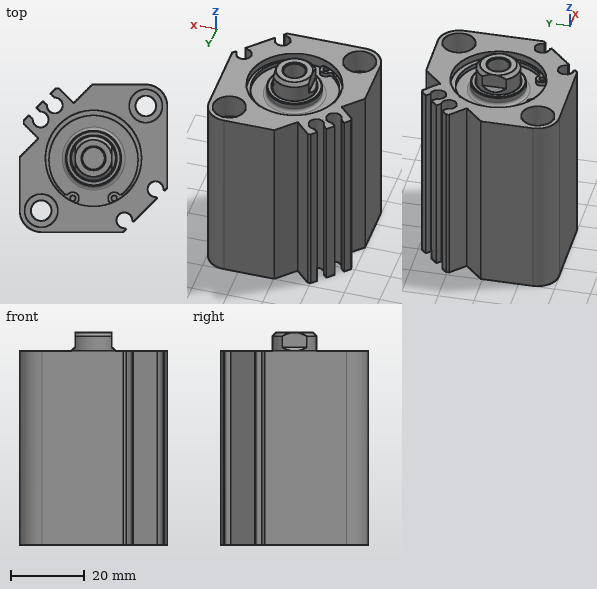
import cadquery as cq
import math

body_width = 40.0
body_height = 52.5
overall_height = 57.5
half_width = body_width / 2
corner_radius = 6.0

rail_side_face = 14.35
port_side_face = 19.8

rail_face = 20.6
rail_width = 13.5
rail_chamfer = 0.6

slot_diameter = 4.2
slot_mouth = 2.85
rail_slot_center = 17.5
rail_slot_pitch = 5.4
port_slot_center = 17.75
port_slot_pitch = 11.9

mount_circle_diameter = 40.0
mount_hole_diameter = 5.5
mount_bore_diameter = 9.0
mount_bore_depth = 7.0

recess_diameter = 26.0
recess_depth = 3.2
recess_floor = body_height - recess_depth
boss_diameter = 15.0
boss_top = body_height - 0.6
boss_fillet = 1.0
boss_outer_chamfer = 0.25
bore_chamfer = 0.3

rod_diameter = 12.0
rod_length = 40.0
rod_bottom = overall_height - rod_length
rod_chamfer = 1.0
rod_flats_width = 10.0
rod_flat_height = 4.0
rod_hole_diameter = 6.0
rod_hole_depth = 12.0
rod_hole_chamfer = 0.3

ring_thickness = 1.2
ring_opening_radius = 12.05
ring_opening_offset = 0.45
ear_radius = 1.65
ear_hole_diameter = 1.5
ear_x = 5.6
ear_y = -10.8
ear_fillet = 0.8

rail_angle = 135
port_angle = -45


def diagonal_box(inner, outer, width, angle):
    """Full-height block from inner to outer along the direction of angle."""
    block = cq.Workplane("XY").box(outer - inner, width, body_height, centered=(True, True, False))
    return block.translate(((inner + outer) / 2, 0, 0)).rotate((0, 0, 0), (0, 0, 1), angle)


def sensor_slot(center, offset, angle):
    """Full-height slot cutter whose mouth opens outwards along angle."""
    channel = cq.Workplane("XY").center(center, offset).circle(slot_diameter / 2).extrude(body_height)
    mouth = (
        cq.Workplane("XY")
        .box(slot_diameter, slot_mouth, body_height, centered=(False, True, False))
        .translate((center, offset, 0))
    )
    return channel.union(mouth).rotate((0, 0, 0), (0, 0, 1), angle)


def make_housing():
    housing = cq.Workplane("XY").rect(body_width, body_width).extrude(body_height)
    for corner in (">X and >Y", "<X and <Y"):
        housing = housing.edges("|Z").edges(corner).fillet(corner_radius)

    for face, angle in ((rail_side_face, rail_angle), (port_side_face, port_angle)):
        housing = housing.cut(diagonal_box(face, body_width, 2 * body_width, angle))

    rail = cq.Workplane("XY").box(rail_face - rail_side_face, rail_width, body_height,
                                  centered=(False, True, False))
    rail = rail.edges("|Z and >X").chamfer(rail_chamfer)
    rail = rail.translate((rail_side_face, 0, 0)).rotate((0, 0, 0), (0, 0, 1), rail_angle)
    housing = housing.union(rail)

    for side in (-1, 1):
        housing = housing.cut(sensor_slot(rail_slot_center, side * rail_slot_pitch / 2, rail_angle))
        housing = housing.cut(sensor_slot(port_slot_center, side * port_slot_pitch / 2, port_angle))

    mount_offset = mount_circle_diameter / 2 * math.sin(math.radians(45))
    housing = (
        housing.faces(">Z").workplane(origin=(0, 0, body_height))
        .pushPoints([(mount_offset, mount_offset), (-mount_offset, -mount_offset)])
        .cboreHole(mount_hole_diameter, mount_bore_diameter, mount_bore_depth)
    )

    recess = (
        cq.Workplane("XY").workplane(offset=recess_floor)
        .circle(recess_diameter / 2).extrude(recess_depth)
    )
    housing = housing.cut(recess).union(make_boss())

    rod_bore = (
        cq.Workplane("XY").workplane(offset=rod_bottom)
        .circle(rod_diameter / 2).extrude(rod_length)
    )
    housing = housing.cut(rod_bore)

    mouth_bottom = boss_top - bore_chamfer
    mouth = cq.Solid.makeCone(
        rod_diameter / 2, rod_diameter / 2 + bore_chamfer, bore_chamfer, pnt=cq.Vector(0, 0, mouth_bottom))
    return housing.cut(cq.Workplane(mouth))


def make_boss():
    radius = boss_diameter / 2
    bend = boss_fillet * (1 - math.sin(math.radians(45)))
    profile = (
        cq.Workplane("XZ")
        .moveTo(0, recess_floor - boss_fillet)
        .lineTo(radius + boss_fillet, recess_floor - boss_fillet)
        .lineTo(radius + boss_fillet, recess_floor)
        .threePointArc((radius + bend, recess_floor + bend), (radius, recess_floor + boss_fillet))
        .lineTo(radius, boss_top - boss_outer_chamfer)
        .lineTo(radius - boss_outer_chamfer, boss_top)
        .lineTo(0, boss_top)
        .close()
    )
    return profile.revolve(360, (0, 0, 0), (0, 1, 0))


def make_rod():
    rod = (
        cq.Workplane("XY").workplane(offset=rod_bottom)
        .circle(rod_diameter / 2).extrude(rod_length)
        .faces(">Z").chamfer(rod_chamfer)
    )

    flat_x = rod_flats_width / 2
    flat_bottom = overall_height - rod_flat_height
    flat = (
        cq.Workplane("XZ")
        .moveTo(flat_x, overall_height)
        .lineTo(flat_x, flat_bottom)
        .lineTo(rod_diameter / 2, flat_bottom - (rod_diameter / 2 - flat_x))
        .lineTo(rod_diameter / 2, overall_height)
        .close()
        .extrude(rod_diameter / 2, both=True)
    )
    rod = rod.cut(flat).cut(flat.mirror("YZ"))

    rod = rod.faces(">Z").workplane(origin=(0, 0, overall_height)).hole(rod_hole_diameter, rod_hole_depth)
    hole_rim = cq.selectors.RadiusNthSelector(0)
    return rod.faces(">Z").edges("%CIRCLE").edges(hole_rim).chamfer(rod_hole_chamfer)


def make_ring():
    floor = cq.Workplane("XY").workplane(offset=recess_floor)
    disc = floor.circle(recess_diameter / 2).extrude(ring_thickness)
    opening = floor.center(0, -ring_opening_offset).circle(ring_opening_radius).extrude(ring_thickness)
    gap = floor.center(0, -half_width).rect(2 * ear_x, body_width).extrude(ring_thickness)
    ear_points = [(-ear_x, ear_y), (ear_x, ear_y)]

    ears = floor.pushPoints(ear_points).circle(ear_radius).extrude(ring_thickness).intersect(disc)
    ring = disc.cut(opening).cut(gap).union(ears)

    inner_corners = cq.selectors.BoxSelector(
        (-half_width, ear_y - ear_radius / 2, 0), (half_width, 0, body_height))
    ring = ring.edges("|Z").edges(inner_corners).fillet(ear_fillet)

    ear_holes = floor.pushPoints(ear_points).circle(ear_hole_diameter / 2).extrude(ring_thickness)
    return ring.cut(ear_holes)


housing = make_housing()
rod = make_rod()
ring = make_ring()

result = cq.Compound.makeCompound([housing.val(), rod.val(), ring.val()])